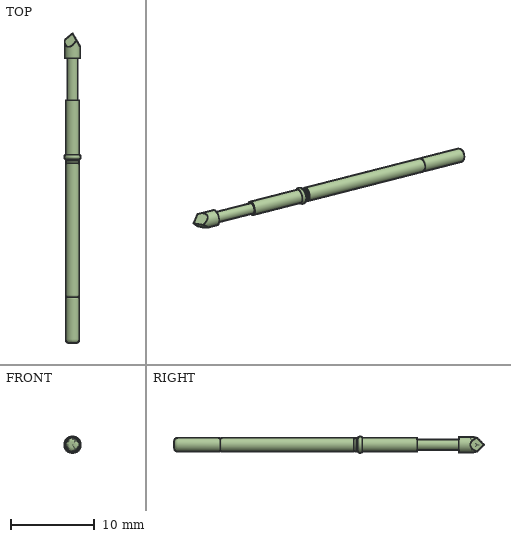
import cadquery as cq
import math

total_length = 37.0
head_diameter = 1.9
head_length = 3.0
tip_face_count = 3
tip_face_angle = 30.0
plunger_diameter = 1.3

sleeve_diameter = 1.65
sleeve_start = 8.0
tail_radius = 0.45

collar_diameter = 2.0
collar_start = 14.5
collar_width = 0.55

groove_depth = 0.15
crimp_position = 31.5
crimp_width = 0.45

waist_depth = 0.1
neck_crest = 15.25
neck_wall = 15.55

tip_y = total_length / 2
tail_y = tip_y - total_length
head_radius = head_diameter / 2
plunger_radius = plunger_diameter / 2
sleeve_radius = sleeve_diameter / 2
collar_radius = collar_diameter / 2
groove_floor_radius = sleeve_radius - groove_depth


def lip_radius(length):
    """Radius of an arc that leaves the sleeve wall tangentially and drops to the groove floor."""
    return (length**2 + groove_depth**2) / (2 * groove_depth)


def spin(half_section):
    """Revolve a closed half section, drawn as (Y, Z), around the Y axis."""
    return half_section.close().revolve(360, (0, 0), (1, 0))


def add_neck(outline):
    """Continue the sleeve outline through the waist, the rounded crest and the square shoulder."""
    waist_y = tip_y - collar_start - collar_width
    crest_y = tip_y - neck_crest
    wall_y = tip_y - neck_wall
    return (
        outline.lineTo(waist_y, sleeve_radius)
        .lineTo(waist_y, sleeve_radius - waist_depth)
        .lineTo(crest_y, sleeve_radius)
        .radiusArc((wall_y, groove_floor_radius), -lip_radius(crest_y - wall_y))
        .lineTo(wall_y, sleeve_radius)
    )


def add_crimp(outline):
    """Continue the sleeve outline through a groove whose two rounded lips meet at the bottom."""
    middle = tip_y - crimp_position
    half_width = crimp_width / 2
    radius = lip_radius(half_width)
    return (
        outline.lineTo(middle + half_width, sleeve_radius)
        .radiusArc((middle, groove_floor_radius), -radius)
        .radiusArc((middle - half_width, sleeve_radius), -radius)
    )


def turned_body():
    """Head, plunger and grooved, round-ended sleeve as one stepped bar."""
    head_back = tip_y - head_length
    mouth = tip_y - sleeve_start
    outline = (
        cq.Workplane("YZ")
        .moveTo(tip_y, 0)
        .lineTo(tip_y, head_radius)
        .lineTo(head_back, head_radius)
        .lineTo(head_back, plunger_radius)
        .lineTo(mouth, plunger_radius)
        .lineTo(mouth, sleeve_radius)
    )
    outline = add_crimp(add_neck(outline))
    return spin(
        outline.lineTo(tail_y + tail_radius, sleeve_radius)
        .radiusArc((tail_y, sleeve_radius - tail_radius), -tail_radius)
        .lineTo(tail_y, 0)
    )


def collar():
    """Ring with a crowned outer face that stands out from the sleeve."""
    front = tip_y - collar_start
    back = front - collar_width
    return spin(
        cq.Workplane("YZ")
        .moveTo(front, 0)
        .lineTo(front, sleeve_radius)
        .threePointArc(((front + back) / 2, collar_radius), (back, sleeve_radius))
        .lineTo(back, 0)
    )


def tip_waste():
    """Wedge outside the first tip face, which faces +X."""
    wedge_width = head_diameter
    wedge_length = wedge_width / math.tan(math.radians(tip_face_angle))
    return (
        cq.Workplane("XY", origin=(0, tip_y, 0))
        .polyline([(0, 0), (wedge_width, -wedge_length), (wedge_width, 0)])
        .close()
        .extrude(head_diameter, both=True)
    )


result = turned_body().union(collar())

for face_index in range(tip_face_count):
    face_turn = face_index * 360 / tip_face_count
    result = result.cut(tip_waste().rotate((0, 0, 0), (0, 1, 0), face_turn))